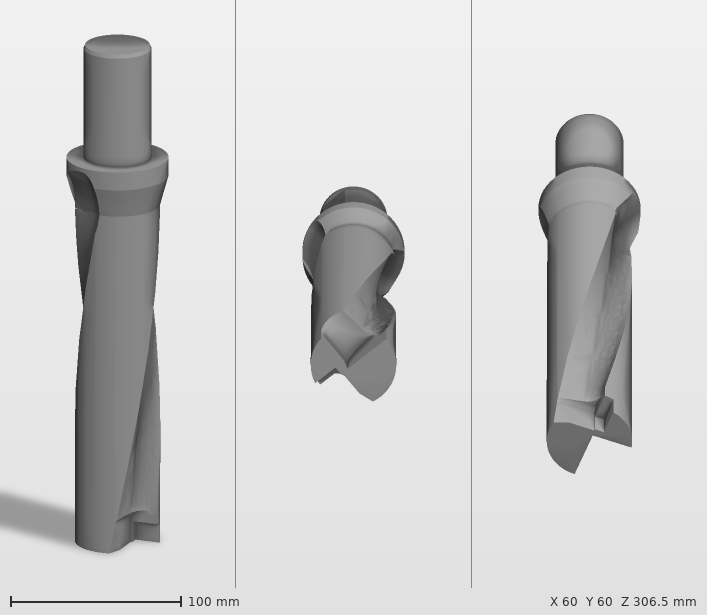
import cadquery as cq
import math

total_length = 306.5
collar_top = 237.3
collar_rim_bottom = 226.2
body_top = 208.5

shank_radius = 20.0
collar_radius = 30.0
body_radius = 25.0

shank_chamfer_length = 2.0
shank_chamfer_width = 1.0

flat_depth = 1.8
flat_bottom = 243.7
flat_top = 299.2

flute_count = 2
flute_half_angle = 34.0
flute_floor_slope = 25.0
flute_outer_reach = 49.0
flute_floor_overrun = 1.2
flute_start_angle = 136.0
flute_end = 200.8
flute_turn = 93.0
flute_overlap = 3.7
runout_radius = 52.0
runout_tilt = 17.0
runout_sweep = 80.0

flute_half_width = body_radius * math.sin(math.radians(flute_half_angle))
flute_chord_distance = body_radius * math.cos(math.radians(flute_half_angle))
flute_floor_rise = math.tan(math.radians(flute_floor_slope))
flute_floor_end_distance = flute_chord_distance - flute_half_width * flute_floor_rise

inner_floor_x = 4.5
inner_wall_y = 0.3
inner_height = 29.0
inner_corner_radius = 15.0

outer_wall_x = 8.3
outer_floor_y = 0.0
outer_height = 21.0
outer_corner_radius = 3.0
seat_wall_x = 9.2
seat_floor_y = 5.5
seat_height = 13.2


def block(x_range, y_range, z_range):
    """Box between the given pairs of limits."""
    size = [high - low for low, high in (x_range, y_range, z_range)]
    corner = (x_range[0], y_range[0], z_range[0])
    return cq.Workplane("XY").box(*size, centered=False).translate(corner)


def turned_blank():
    """Shank, collar and body as one revolved outline."""
    outline = (
        cq.Workplane("XZ")
        .lineTo(body_radius, 0)
        .lineTo(body_radius, body_top)
        .lineTo(collar_radius, collar_rim_bottom)
        .lineTo(collar_radius, collar_top)
        .lineTo(shank_radius, collar_top)
        .lineTo(shank_radius, total_length - shank_chamfer_length)
        .lineTo(shank_radius - shank_chamfer_width, total_length)
        .lineTo(0, total_length)
        .close()
    )
    return outline.revolve(360, (0, 0, 0), (0, 1, 0))


def shank_flat():
    """Cutter for the clamping flat."""
    reach = collar_radius
    return block((-reach, reach), (shank_radius - flat_depth, reach), (flat_bottom, flat_top))


def flute_profile():
    """Section of a flute that opens toward +X, with the flat floor on its -Y half."""
    floor_start_x = flute_chord_distance + flute_floor_overrun * flute_floor_rise
    floor_start_y = -flute_half_width - flute_floor_overrun
    return (
        cq.Workplane("XY")
        .moveTo(flute_outer_reach, floor_start_y)
        .lineTo(floor_start_x, floor_start_y)
        .lineTo(flute_floor_end_distance, 0)
        .tangentArcPoint((flute_chord_distance, flute_half_width), relative=False)
        .lineTo(flute_outer_reach, flute_half_width)
        .close()
    )


def flute_cutters():
    """Helical groove of the first flute and its runout, which curves out through the collar."""
    helix_length = flute_end + flute_overlap
    helix = flute_profile().twistExtrude(helix_length, flute_turn * helix_length / flute_end)

    pivot_x = flute_floor_end_distance + runout_radius
    runout = flute_profile().revolve(runout_sweep, (pivot_x, 0, 0), (pivot_x, 1, 0))
    runout = runout.rotate((0, 0, 0), (1, 0, 0), -runout_tilt)
    runout = runout.rotate((0, 0, 0), (0, 0, 1), flute_turn)
    runout = runout.translate((0, 0, flute_end))
    return [part.rotate((0, 0, 0), (0, 0, 1), flute_start_angle) for part in (helix, runout)]


def inner_pocket():
    """Pocket of the inner insert, rounded where its floor meets its top."""
    reach = collar_radius
    pocket = block((-reach, inner_floor_x), (inner_wall_y, reach), (0, inner_height))
    return pocket.edges(">X and >Z").fillet(inner_corner_radius)


def outer_pocket():
    """Pocket of the outer insert with the seat sunk into its floor."""
    reach = collar_radius
    pocket = block((outer_wall_x, reach), (-reach, outer_floor_y), (0, outer_height))
    pocket = pocket.edges("<X and >Z").fillet(outer_corner_radius)
    seat = block((seat_wall_x, reach), (-reach, seat_floor_y), (0, seat_height))
    return pocket.union(seat)


result = turned_blank().cut(shank_flat())
for index in range(flute_count):
    for cutter in flute_cutters():
        result = result.cut(cutter.rotate((0, 0, 0), (0, 0, 1), index * 360 / flute_count))
result = result.cut(inner_pocket()).cut(outer_pocket())